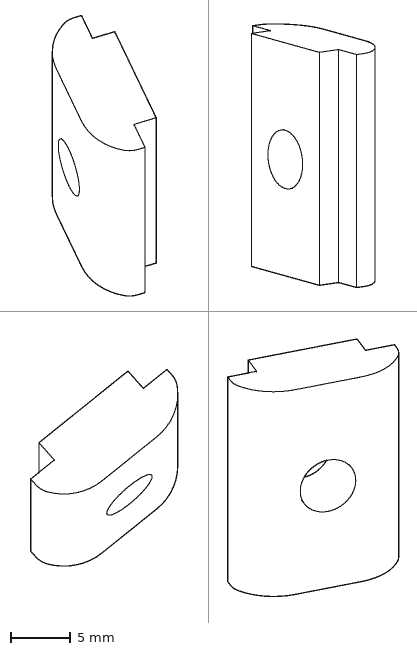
import cadquery as cq
import math

width = 15.0
length = 20.0
neck_width = 9.8
neck_height = 2.0
flange_height = 4.0
flat_width = 6.0
main_radius = 5.0
corner_radius = 2.0
hole_diameter = 5.0

half_width = width / 2
half_neck = neck_width / 2
half_flat = flat_width / 2

face_y = -flange_height
main_center = (half_flat, face_y + main_radius)
corner_center_x = half_width - corner_radius

center_distance = main_radius - corner_radius
center_offset_x = corner_center_x - main_center[0]
center_offset_y = math.sqrt(center_distance**2 - center_offset_x**2)
corner_center = (corner_center_x, main_center[1] - center_offset_y)
blend_angle = -math.atan2(center_offset_y, center_offset_x)


def point_on_arc(center, radius, angle):
    x = center[0] + radius * math.cos(angle)
    y = center[1] + radius * math.sin(angle)
    return (x, y)


def mirrored(point):
    return (-point[0], point[1])


def make_profile():
    wall_end = (half_width, corner_center[1])
    corner_middle = point_on_arc(corner_center, corner_radius, blend_angle / 2)
    blend = point_on_arc(main_center, main_radius, blend_angle)
    main_middle = point_on_arc(main_center, main_radius, (blend_angle - math.pi / 2) / 2)
    flat_end = (half_flat, face_y)
    return (
        cq.Workplane("XY")
        .moveTo(-half_neck, neck_height)
        .lineTo(half_neck, neck_height)
        .lineTo(half_neck, 0)
        .lineTo(half_width, 0)
        .lineTo(*wall_end)
        .threePointArc(corner_middle, blend)
        .threePointArc(main_middle, flat_end)
        .lineTo(*mirrored(flat_end))
        .threePointArc(mirrored(main_middle), mirrored(blend))
        .threePointArc(mirrored(corner_middle), mirrored(wall_end))
        .lineTo(-half_width, 0)
        .lineTo(-half_neck, 0)
        .close()
    )


def make_hole():
    return (
        cq.Workplane("XZ", origin=(0, neck_height, length / 2))
        .circle(hole_diameter / 2)
        .extrude(neck_height + flange_height)
    )


result = make_profile().extrude(length).cut(make_hole())